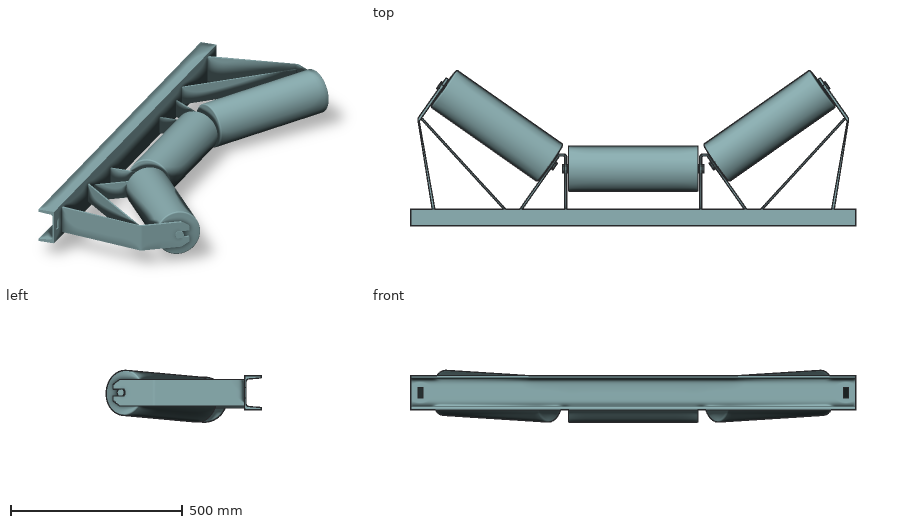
import cadquery as cq
import math


BEAM_LENGTH = 1300.0
BEAM_HEIGHT = 100.0
BEAM_DEPTH = 50.0
WEB_THICKNESS = 4.5
FLANGE_TIP_THICKNESS = 7.2
FLANGE_SLOPE = 0.08
ROOT_RADIUS = 8.0
TIP_RADIUS = 3.0
SLOT_LENGTH = 30.0
SLOT_WIDTH = 15.0
SLOT_END_DISTANCE = 29.0

ROLLER_DIAMETER = 133.0
ROLLER_LENGTH = 380.0
ROLLER_EDGE_RADIUS = 4.0
SHAFT_DIAMETER = 25.0
SHAFT_FLATS = 20.0
SHAFT_PROTRUSION = 5.0
END_GAP = 4.0
TROUGH_ANGLE = 35.0
FORWARD_TILT = 3.0
CENTER_ROLLER_HEIGHT = 118.0
SIDE_ROLLER_X = -398.0
SIDE_ROLLER_HEIGHT = 243.0

OUTER_THICKNESS = 8.5
OUTER_WIDTH = 78.0
OUTER_FOOT_X = -588.0
OUTER_BEND_RADIUS = 12.0
OUTER_TIP_RISE = 30.0
OUTER_BEND_DROP = 116.0
TIP_CHAMFER_LENGTH = 23.0
TIP_CHAMFER_WIDTH = 14.0
INNER_THICKNESS = 6.0
INNER_WIDTH = 50.0
INNER_TOP = 161.0
INNER_BEND_RADIUS = 10.0
BRACE_THICKNESS = 5.0
BRACE_WIDTH = 55.0
BRACE_FOOT_X = -376.0
BRACE_TOP_X = -619.0
BRACE_TOP_Y = 265.0

PLATE_REACH = ROLLER_LENGTH / 2 + END_GAP
SHAFT_HALF_LENGTH = PLATE_REACH + OUTER_THICKNESS + SHAFT_PROTRUSION
FLATS_START = PLATE_REACH - END_GAP / 3
SIN_TROUGH = math.sin(math.radians(TROUGH_ANGLE))
COS_TROUGH = math.cos(math.radians(TROUGH_ANGLE))
TILT_DROP = PLATE_REACH * math.sin(math.radians(FORWARD_TILT))
SIDE_ROLLER_Z = -TILT_DROP
CENTER_ROLLER_Z = -2 * TILT_DROP


def side_point(along, rise):
    """Plan point at a distance along the left roller's axis and a rise square to it."""
    x = SIDE_ROLLER_X + along * COS_TROUGH + rise * SIN_TROUGH
    y = SIDE_ROLLER_HEIGHT - along * SIN_TROUGH + rise * COS_TROUGH
    return (x, y)


def side_point_at_height(along, y):
    """Plan point on the line square to the left roller's axis, at the height y."""
    rise = (y - side_point(along, 0)[1]) / COS_TROUGH
    return side_point(along, rise)


def place_left(shape):
    """Move a shape made along X about the origin onto the left roller's axis."""
    tilted = shape.rotate((0, 0, 0), (0, 1, 0), FORWARD_TILT)
    troughed = tilted.rotate((0, 0, 0), (0, 0, 1), -TROUGH_ANGLE)
    return troughed.translate((SIDE_ROLLER_X, SIDE_ROLLER_HEIGHT, SIDE_ROLLER_Z))


def place_center(shape):
    """Move a shape made along X about the origin onto the centre roller's axis."""
    return shape.translate((0, CENTER_ROLLER_HEIGHT, CENTER_ROLLER_Z))


def make_rod(diameter, length):
    """Solid cylinder about the X axis, centred on the origin."""
    return cq.Workplane("ZY").workplane(offset=-length / 2).circle(diameter / 2).extrude(length)


def make_flatted_rod(length):
    """Length of shaft with two flats, about the X axis and centred on the origin."""
    flat_bar = cq.Workplane("XY").box(length, SHAFT_DIAMETER, SHAFT_FLATS)
    return make_rod(SHAFT_DIAMETER, length).intersect(flat_bar)


def make_roller():
    """Roller about the X axis, with a shaft that has two flats at each end."""
    shell = make_rod(ROLLER_DIAMETER, ROLLER_LENGTH).edges("%CIRCLE").fillet(ROLLER_EDGE_RADIUS)
    round_shaft = make_rod(SHAFT_DIAMETER, 2 * FLATS_START)
    return shell.union(round_shaft).union(make_flatted_rod(2 * SHAFT_HALF_LENGTH))


def make_shaft_slot(end):
    """Cutter for a drop-in slot at one shaft end (+1 or -1), open in the +Y direction."""
    slot_depth = 52.0
    slot_reach = 20.0
    middle = end * (FLATS_START + slot_reach / 2)
    opening = cq.Workplane("XY").box(slot_reach, slot_depth, SHAFT_FLATS).translate((0, slot_depth / 2, 0))
    return opening.union(make_flatted_rod(slot_reach)).translate((middle, 0, 0))


def make_beam():
    """Channel with tapered flanges that point to -Y, and a slot near each end of the web."""
    half = BEAM_HEIGHT / 2
    tip_z = half - FLANGE_TIP_THICKNESS
    root_z = tip_z - FLANGE_SLOPE * (BEAM_DEPTH - WEB_THICKNESS)
    profile = [
        (0, half),
        (-BEAM_DEPTH, half),
        (-BEAM_DEPTH, tip_z),
        (-WEB_THICKNESS, root_z),
        (-WEB_THICKNESS, -root_z),
        (-BEAM_DEPTH, -tip_z),
        (-BEAM_DEPTH, -half),
        (0, -half),
    ]
    left_end = cq.Workplane("YZ").workplane(offset=-BEAM_LENGTH / 2)
    beam = left_end.polyline(profile).close().extrude(BEAM_LENGTH)
    for side in (1, -1):
        beam = beam.edges(cq.NearestToPointSelector((0, -WEB_THICKNESS, side * root_z))).fillet(ROOT_RADIUS)
        beam = beam.edges(cq.NearestToPointSelector((0, -BEAM_DEPTH, side * tip_z))).fillet(TIP_RADIUS)
    slot_x = BEAM_LENGTH / 2 - SLOT_END_DISTANCE
    slots = (
        cq.Workplane("XZ")
        .pushPoints([(-slot_x, 0), (slot_x, 0)])
        .rect(SLOT_WIDTH, SLOT_LENGTH)
        .extrude(WEB_THICKNESS)
    )
    return beam.cut(slots)


def make_strip(outline, width, middle_z):
    """Plate with a plan outline and a width across Z."""
    return (
        cq.Workplane("XY")
        .workplane(offset=middle_z - width / 2)
        .polyline(outline)
        .close()
        .extrude(width)
    )


def round_bend(strip, outside, inside, middle_z, outer_radius, thickness):
    """Round the outside and inside corners of one bend in a strip."""
    corners = [(outside, outer_radius), (inside, outer_radius - thickness)]
    for (x, y), radius in corners:
        strip = strip.edges(cq.NearestToPointSelector((x, y, middle_z))).fillet(radius)
    return strip


def make_outer_bracket():
    """Left outer bracket: a leaning leg and an arm square to the roller, with a notched tip."""
    arm_in = -PLATE_REACH
    arm_out = arm_in - OUTER_THICKNESS
    bend = side_point(arm_out, -OUTER_BEND_DROP)
    foot = (OUTER_FOOT_X, 0)
    lean = math.atan2(bend[1], foot[0] - bend[0])
    leg_shift = OUTER_THICKNESS / math.sin(lean)
    arm_angle = math.radians(90 - TROUGH_ANGLE)
    turn = math.pi - lean - arm_angle
    inside_rise = OUTER_THICKNESS * math.tan(turn / 2)
    bend_in = side_point(arm_in, -OUTER_BEND_DROP - inside_rise)
    outline = [
        foot,
        bend,
        side_point(arm_out, OUTER_TIP_RISE),
        side_point(arm_in, OUTER_TIP_RISE),
        bend_in,
        (OUTER_FOOT_X + leg_shift, 0),
    ]
    bracket = make_strip(outline, OUTER_WIDTH, 0)
    bracket = round_bend(bracket, bend, bend_in, 0, OUTER_BEND_RADIUS, OUTER_THICKNESS)

    half_width = OUTER_WIDTH / 2
    corner = [
        (OUTER_TIP_RISE, half_width),
        (OUTER_TIP_RISE - TIP_CHAMFER_LENGTH, half_width),
        (OUTER_TIP_RISE, half_width - TIP_CHAMFER_WIDTH),
    ]
    tip_plane = cq.Plane(
        origin=(*side_point(arm_in, 0), 0),
        xDir=(SIN_TROUGH, COS_TROUGH, 0),
        normal=(-COS_TROUGH, SIN_TROUGH, 0),
    )
    for side in (1, -1):
        chamfer = [(rise, side * z) for rise, z in corner]
        cutter = cq.Workplane(tip_plane).polyline(chamfer).close().extrude(OUTER_THICKNESS, both=True)
        bracket = bracket.cut(cutter)
    return bracket.cut(place_left(make_shaft_slot(-1)))


def make_inner_bracket():
    """Left inner bracket: one strip bent over a short flat top, between two rollers."""
    under = INNER_TOP - INNER_THICKNESS
    slant_near = PLATE_REACH
    slant_far = slant_near + INNER_THICKNESS
    post_near = -PLATE_REACH
    post_far = post_near - INNER_THICKNESS
    slant_top = side_point_at_height(slant_near, INNER_TOP)
    slant_under = side_point_at_height(slant_far, under)
    outline = [
        side_point_at_height(slant_near, 0),
        slant_top,
        (post_near, INNER_TOP),
        (post_near, 0),
        (post_far, 0),
        (post_far, under),
        slant_under,
        side_point_at_height(slant_far, 0),
    ]
    bracket = make_strip(outline, INNER_WIDTH, CENTER_ROLLER_Z)
    bracket = round_bend(
        bracket, (post_near, INNER_TOP), (post_far, under), CENTER_ROLLER_Z, INNER_BEND_RADIUS, INNER_THICKNESS
    )
    bracket = bracket.cut(place_left(make_shaft_slot(1)))
    return bracket.cut(place_center(make_shaft_slot(-1)))


def make_brace(bracket):
    """Left brace: a straight strip from the beam to the bend of the outer bracket."""
    run_x = BRACE_TOP_X - BRACE_FOOT_X
    length = math.hypot(run_x, BRACE_TOP_Y)
    half_foot = BRACE_THICKNESS / 2 * length / BRACE_TOP_Y
    outline = [
        (BRACE_FOOT_X - half_foot, 0),
        (BRACE_TOP_X - half_foot, BRACE_TOP_Y),
        (BRACE_TOP_X + half_foot, BRACE_TOP_Y),
        (BRACE_FOOT_X + half_foot, 0),
    ]
    return make_strip(outline, BRACE_WIDTH, 0).cut(bracket)


beam = make_beam()
roller = make_roller()
left_outer_bracket = make_outer_bracket()
left_bodies = [
    place_left(roller),
    left_outer_bracket,
    make_inner_bracket(),
    make_brace(left_outer_bracket),
]

bodies = [beam.solids().val(), place_center(roller).solids().val()]
for body in left_bodies:
    bodies.append(body.solids().val())
    bodies.append(body.mirror("YZ").solids().val())

result = cq.Compound.makeCompound(bodies)